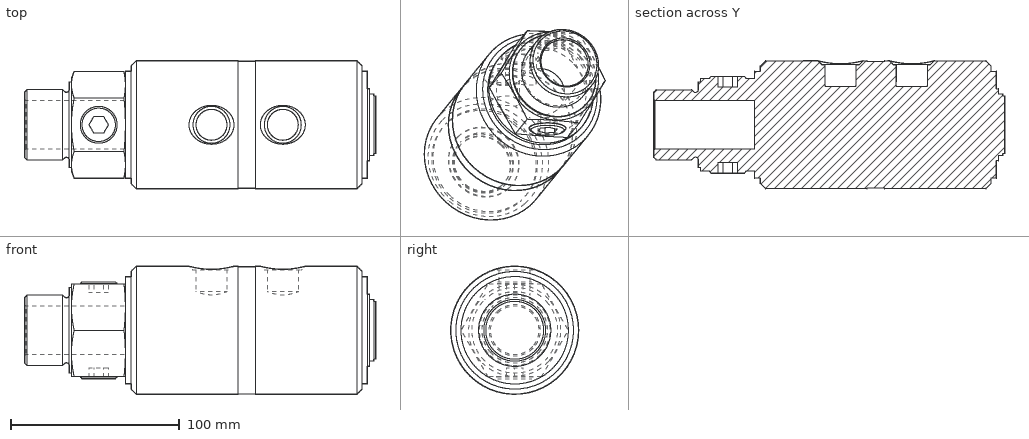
import cadquery as cq
import math

thread_diameter = 41.8
thread_chamfer = 1.5
thread_end = 22.5
undercut_diameter = 38.7
undercut_end = 26.5

collar_diameter = 50.8
hex_start = 27.7
hex_end = 59.7
hex_flats = 55.0
hex_corners = hex_flats / math.cos(math.pi / 6)
hex_crown_diameter = 54.5
hex_front_crown = 1.7
hex_rear_crown = 0.8

bore_diameter = 28.7
bore_depth = hex_end
bore_chamfer = 0.8

shoulder_diameter = 63.6
housing_diameter = 76.0
housing_start = 63.0
housing_end = 199.9
housing_edge = 3.1
seam_ring_diameter = 75.5
seam_ring_start = 126.5
seam_ring_end = 136.7

rear_shoulder_end = 203.0
rear_boss_diameter = 42.8
rear_boss_end = 204.3
rear_cap_diameter = 36.6
rear_cap_end = 206.8
rear_tip_diameter = 34.3
total_length = 208.0

port_positions = (110.7, 152.9)
port_diameter = 18.3
port_seat_diameter = 21.8
port_mouth_diameter = 26.6
rotor_diameter = 45.8

plug_position = 43.9
plug_diameter = 21.8
plug_chamfer = 1.0
plug_height = 28.7
plug_root_height = 20.8
socket_flats = 10.0
socket_depth = 6.2


def disc(start, end, diameter):
    """Cylinder around the X axis."""
    return cq.Workplane("YZ", origin=(start, 0, 0)).circle(diameter / 2).extrude(end - start)


def make_spigot():
    thread_radius = thread_diameter / 2
    undercut_radius = undercut_diameter / 2
    collar_radius = collar_diameter / 2
    undercut_depth = thread_radius - undercut_radius
    arc_radius = (undercut_end - thread_end - undercut_depth) / math.sqrt(2)
    bevel = undercut_depth - arc_radius * (1 - math.cos(math.pi / 4))
    return (
        cq.Workplane("XY")
        .lineTo(0, thread_radius - thread_chamfer)
        .lineTo(thread_chamfer, thread_radius)
        .lineTo(thread_end, thread_radius)
        .lineTo(thread_end + bevel, thread_radius - bevel)
        .tangentArcPoint((undercut_end, undercut_radius + arc_radius), relative=False)
        .lineTo(undercut_end, collar_radius)
        .lineTo(hex_start, collar_radius)
        .lineTo(hex_start, 0)
        .close()
        .revolve(360, (0, 0, 0), (1, 0, 0))
    )


def make_hexagon():
    crown = (
        cq.Workplane("XY")
        .moveTo(hex_start, 0)
        .lineTo(hex_start, hex_crown_diameter / 2)
        .lineTo(hex_start + hex_front_crown, hex_corners / 2)
        .lineTo(hex_end - hex_rear_crown, hex_corners / 2)
        .lineTo(hex_end, hex_crown_diameter / 2)
        .lineTo(hex_end, 0)
        .close()
        .revolve(360, (0, 0, 0), (1, 0, 0))
    )
    prism = (
        cq.Workplane("YZ", origin=(hex_start, 0, 0))
        .polygon(6, hex_corners)
        .extrude(hex_end - hex_start)
    )
    return prism.intersect(crown)


def make_housing():
    front_half = disc(housing_start, seam_ring_start, housing_diameter).faces("<X").chamfer(housing_edge)
    seam_ring = disc(seam_ring_start, seam_ring_end, seam_ring_diameter)
    rear_half = disc(seam_ring_end, housing_end, housing_diameter).faces(">X").chamfer(housing_edge)
    return front_half.union(seam_ring).union(rear_half)


def make_rear_end():
    boss = disc(rear_shoulder_end, rear_boss_end, rear_boss_diameter)
    cap = disc(rear_boss_end, rear_cap_end, rear_cap_diameter)
    tip = disc(rear_cap_end, total_length, rear_tip_diameter)
    shoulder = disc(housing_end, rear_shoulder_end, shoulder_diameter)
    return shoulder.union(boss).union(cap).union(tip)


def make_bore():
    mouth_radius = bore_diameter / 2 + bore_chamfer
    return (
        cq.Workplane("XY")
        .lineTo(0, mouth_radius)
        .lineTo(bore_chamfer, bore_diameter / 2)
        .lineTo(bore_depth, bore_diameter / 2)
        .lineTo(bore_depth, 0)
        .close()
        .revolve(360, (0, 0, 0), (1, 0, 0))
    )


def make_port(position):
    """Hole with a flat seat and a 45 degree mouth, ending on the rotor surface."""
    top = housing_diameter / 2
    seat_height = top - (port_mouth_diameter - port_seat_diameter) / 2
    tool = (
        cq.Workplane("XZ")
        .lineTo(port_diameter / 2, 0)
        .lineTo(port_diameter / 2, seat_height)
        .lineTo(port_seat_diameter / 2, seat_height)
        .lineTo(port_mouth_diameter / 2, top)
        .lineTo(0, top)
        .close()
        .revolve(360, (0, 0, 0), (0, 1, 0))
        .translate((position, 0, 0))
    )
    return tool.cut(disc(housing_start, housing_end, rotor_diameter))


def make_plug():
    return (
        cq.Workplane("XY", origin=(plug_position, 0, plug_root_height))
        .circle(plug_diameter / 2)
        .extrude(plug_height - plug_root_height)
        .faces(">Z")
        .chamfer(plug_chamfer)
    )


def make_socket():
    return (
        cq.Workplane("XY", origin=(plug_position, 0, plug_height - socket_depth))
        .polygon(6, socket_flats / math.cos(math.pi / 6))
        .extrude(socket_depth)
    )


def underneath(shape):
    """The same shape turned about the X axis to the underside."""
    return shape.rotate((0, 0, 0), (1, 0, 0), 180)


result = make_spigot().union(make_hexagon())
result = result.union(disc(hex_end, housing_start, shoulder_diameter))
result = result.union(make_housing()).union(make_rear_end())
result = result.cut(make_bore())
for position in port_positions:
    result = result.cut(make_port(position))
plug = make_plug()
socket = make_socket()
result = result.union(plug).union(underneath(plug))
result = result.cut(socket).cut(underneath(socket))